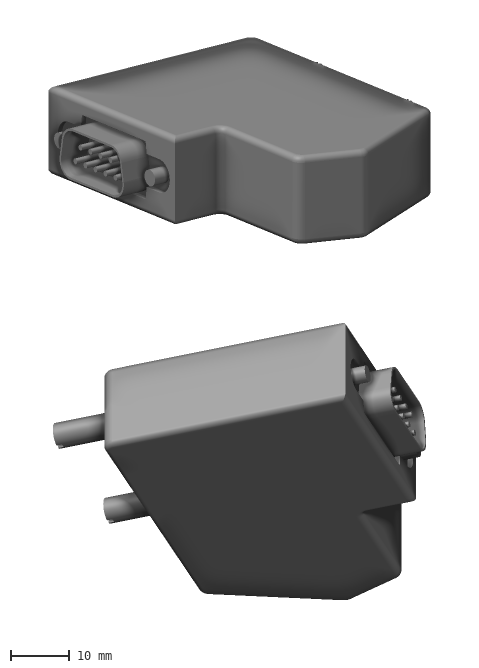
import cadquery as cq
import math

HOUSING_DEPTH = 44.5
HOUSING_HEIGHT = 16.0
FRONT_WIDTH = 35.0
STEP_DEPTH = 10.0
REAR_CORNER_X = 49.7
NOSE_TIP_X = 60.335
REAR_FLANK_ANGLE = 25.0
FRONT_FLANK_ANGLE = 20.0
OUTER_CORNER_RADIUS = 2.0
INNER_CORNER_RADIUS = 1.2
RIM_RADIUS = 1.1
MID_Z = HOUSING_HEIGHT / 2

CONNECTOR_X = 18.1
SCREW_SPACING = 25.0
SCREW_XS = [CONNECTOR_X - SCREW_SPACING / 2, CONNECTOR_X + SCREW_SPACING / 2]

RECESS_DEPTH = 1.0
RECESS_HEIGHT = 10.5
RECESS_EDGE_WIDTH = 17.6
RECESS_WAIST_WIDTH = 18.2
LUG_RADIUS = 3.0

SHELL_HEIGHT = 9.3
SHELL_MID_WIDTH = 17.3
SHELL_SIDE_ANGLE = 10.0
SHELL_CORNER_RADIUS = 3.0
SHELL_WALL = 0.4
SHELL_PROJECTION = 4.8

PIN_DIAMETER = 1.0
PIN_PITCH = 2.77
PIN_ROW_SPACING = 2.84
PIN_SETBACK = 0.8
UPPER_ROW_COUNT = 4
LOWER_ROW_COUNT = 5

STUD_DIAMETER = 2.9
STUD_PROJECTION = 2.0
SHANK_DIAMETER = 4.5
SHANK_PROJECTION = 10.0
SLOT_WIDTH = 0.8
SLOT_DEPTH = 1.0


def tan_deg(angle):
    return math.tan(math.radians(angle))


def along_y(plan_x, z, y_start):
    """Workplane at (plan_x, y_start, z) whose extrusions run toward +Y."""
    return cq.Workplane(cq.Plane((plan_x, y_start, z), (1, 0, 0), (0, 1, 0)))


def rod(x, z, diameter, y_start, y_end):
    return along_y(x, z, y_start).circle(diameter / 2).extrude(y_end - y_start)


def make_housing():
    rear_run = NOSE_TIP_X - REAR_CORNER_X
    nose_tip_y = HOUSING_DEPTH - rear_run / tan_deg(REAR_FLANK_ANGLE)
    front_corner_x = NOSE_TIP_X - (nose_tip_y - STEP_DEPTH) * tan_deg(FRONT_FLANK_ANGLE)
    inner_corner = (FRONT_WIDTH, STEP_DEPTH)
    rounded_corners = [
        (front_corner_x, STEP_DEPTH),
        (NOSE_TIP_X, nose_tip_y),
        (REAR_CORNER_X, HOUSING_DEPTH),
        (0, HOUSING_DEPTH),
    ]
    outline = [(0, 0), (FRONT_WIDTH, 0), inner_corner] + rounded_corners
    body = cq.Workplane("XY").polyline(outline).close().extrude(HOUSING_HEIGHT)

    def upright_edge(corner):
        return cq.selectors.NearestToPointSelector((corner[0], corner[1], MID_Z))

    for corner in rounded_corners:
        body = body.edges(upright_edge(corner)).fillet(OUTER_CORNER_RADIUS)
    body = body.edges(upright_edge(inner_corner)).fillet(INNER_CORNER_RADIUS)
    return body.faces("<Z or >Z").edges().fillet(RIM_RADIUS)


def make_recess():
    edge_x = RECESS_EDGE_WIDTH / 2
    waist_x = RECESS_WAIST_WIDTH / 2
    top = RECESS_HEIGHT / 2
    frame = [
        (-edge_x, top),
        (edge_x, top),
        (waist_x, LUG_RADIUS),
        (waist_x, -LUG_RADIUS),
        (edge_x, -top),
        (-edge_x, -top),
        (-waist_x, -LUG_RADIUS),
        (-waist_x, LUG_RADIUS),
    ]
    front = along_y(CONNECTOR_X, MID_Z, 0)
    lugs = front.slot2D(SCREW_SPACING + 2 * LUG_RADIUS, 2 * LUG_RADIUS).extrude(RECESS_DEPTH)
    return front.polyline(frame).close().extrude(RECESS_DEPTH).union(lugs)


def d_prism(inset):
    """Rounded D-shaped prism from the shell rim to the recess floor, wider at the bottom."""
    half_height = SHELL_HEIGHT / 2 - inset
    half_mid = SHELL_MID_WIDTH / 2 - inset / math.cos(math.radians(SHELL_SIDE_ANGLE))
    flare = half_height * tan_deg(SHELL_SIDE_ANGLE)
    corners = [
        (-half_mid + flare, -half_height),
        (half_mid - flare, -half_height),
        (half_mid + flare, half_height),
        (-half_mid - flare, half_height),
    ]
    prism = along_y(CONNECTOR_X, MID_Z, -SHELL_PROJECTION).polyline(corners).close()
    prism = prism.extrude(SHELL_PROJECTION + RECESS_DEPTH)
    return prism.edges("|Y").fillet(SHELL_CORNER_RADIUS - inset)


def make_pin_row(count, z):
    row = cq.Workplane("XY")
    for index in range(count):
        x = CONNECTOR_X + (index - (count - 1) / 2) * PIN_PITCH
        row = row.union(rod(x, z, PIN_DIAMETER, PIN_SETBACK - SHELL_PROJECTION, RECESS_DEPTH))
    return row


def make_shank(x):
    rear_end = HOUSING_DEPTH + SHANK_PROJECTION
    shank = rod(x, MID_Z, SHANK_DIAMETER, HOUSING_DEPTH, rear_end)
    slot = cq.Workplane("XY").box(SLOT_WIDTH, 2 * SLOT_DEPTH, SHANK_DIAMETER)
    return shank.cut(slot.translate((x, rear_end, MID_Z)))


result = make_housing().cut(make_recess())
result = result.union(d_prism(0).cut(d_prism(SHELL_WALL)))
result = result.union(make_pin_row(UPPER_ROW_COUNT, MID_Z + PIN_ROW_SPACING / 2))
result = result.union(make_pin_row(LOWER_ROW_COUNT, MID_Z - PIN_ROW_SPACING / 2))
for screw_x in SCREW_XS:
    result = result.union(rod(screw_x, MID_Z, STUD_DIAMETER, -STUD_PROJECTION, RECESS_DEPTH))
    result = result.union(make_shank(screw_x))